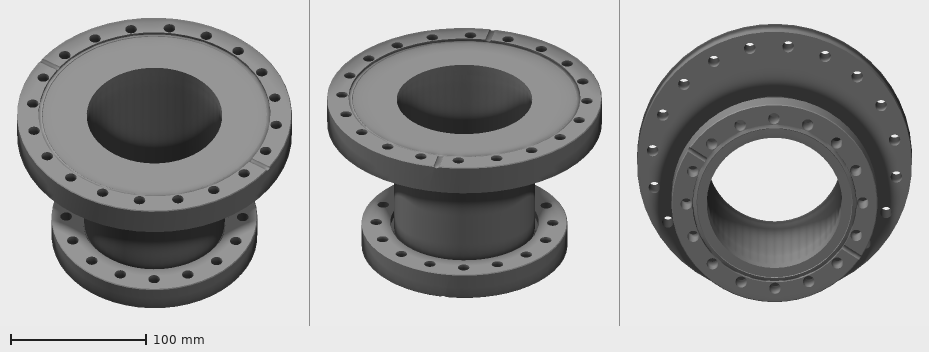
import cadquery as cq

TOTAL_HEIGHT = 127.0
TUBE_BORE = 100.0
TUBE_OD = 104.0
EDGE_CHAMFER = 0.6

RECESS_DEPTH = 2.0
FLOOR_DEPTH = 1.5
KNIFE_TIP_DEPTH = 1.0
KNIFE_INSET = 2.6
KNIFE_TAPER = 0.5
SOCKET_OFFSET = 8.7
BOLT_HOLE_DIAMETER = 8.5

LARGE_OD = 203.0
LARGE_THICKNESS = 21.7
LARGE_RECESS = 171.3
LARGE_BOLT_CIRCLE = 181.0
LARGE_BOLT_COUNT = 20
LARGE_GROOVE_WIDTH = 4.3
LARGE_GROOVE_DEPTH = 1.5

RING_OD = 152.0
RING_THICKNESS = 20.0
RING_POCKET = 121.2
RING_LIP_BORE = 109.6
RING_LIP_THICKNESS = 5.9
RING_BOLT_CIRCLE = 130.3
RING_BOLT_COUNT = 16
RING_GROOVE_WIDTH = 3.7
RING_GROOVE_DEPTH = 1.2
INSERT_OD = 120.4
COLLAR_OD = 105.0
COLLAR_GAP = 4.9
INSERT_TOP = RING_THICKNESS - RING_LIP_THICKNESS
COLLAR_TOP = RING_THICKNESS - COLLAR_GAP

SOCKET_DEPTH = FLOOR_DEPTH + SOCKET_OFFSET


def revolve_profile(points):
    """Revolve a closed (radius, z) outline around the Z axis."""
    return cq.Workplane("XZ").polyline(points).close().revolve(360, (0, 0, 0), (0, 1, 0))


def sealing_profile(recess_diameter):
    """(radius, depth) points from the recess corner over the knife edge to the bore."""
    recess_radius = recess_diameter / 2
    knife_radius = recess_radius - KNIFE_INSET
    return [
        (recess_radius, RECESS_DEPTH),
        (knife_radius, KNIFE_TIP_DEPTH),
        (knife_radius - KNIFE_TAPER, FLOOR_DEPTH),
        (TUBE_BORE / 2, FLOOR_DEPTH),
        (TUBE_BORE / 2, SOCKET_DEPTH),
        (TUBE_OD / 2, SOCKET_DEPTH),
    ]


def bolt_holes(bolt_circle, count, length):
    """Through holes, turned half a pitch so that the X axis passes between two of them."""
    pitch = 360 / count
    return (
        cq.Workplane("XY")
        .polarArray(bolt_circle / 2, pitch / 2, 360, count)
        .circle(BOLT_HOLE_DIAMETER / 2)
        .extrude(length)
    )


def leak_groove(width, depth, face_z, inward, length):
    """Round-bottomed groove along X; inward is the Z direction from the face into the metal."""
    radius = (width**2 / 4 + depth**2) / (2 * depth)
    center_z = face_z + inward * (depth - radius)
    return cq.Workplane("YZ").center(0, center_z).circle(radius).extrude(length / 2, both=True)


def make_large_flange():
    outer_radius = LARGE_OD / 2
    sealing = [(r, LARGE_THICKNESS - depth) for r, depth in sealing_profile(LARGE_RECESS)]
    outline = [
        (outer_radius, 0),
        (outer_radius, LARGE_THICKNESS - EDGE_CHAMFER),
        (outer_radius - EDGE_CHAMFER, LARGE_THICKNESS),
        (LARGE_RECESS / 2, LARGE_THICKNESS),
        *sealing,
        (TUBE_OD / 2, 0),
    ]
    groove = leak_groove(LARGE_GROOVE_WIDTH, LARGE_GROOVE_DEPTH, LARGE_THICKNESS, -1, LARGE_OD)
    groove = groove.cut(cq.Workplane("XY").circle(LARGE_RECESS / 2).extrude(2 * LARGE_THICKNESS))
    flange = revolve_profile(outline)
    flange = flange.cut(bolt_holes(LARGE_BOLT_CIRCLE, LARGE_BOLT_COUNT, LARGE_THICKNESS))
    flange = flange.cut(groove)
    return flange.translate((0, 0, TOTAL_HEIGHT - LARGE_THICKNESS))


def make_tube():
    length = TOTAL_HEIGHT - 2 * SOCKET_DEPTH
    tube = cq.Workplane("XY").circle(TUBE_OD / 2).circle(TUBE_BORE / 2).extrude(length)
    return tube.translate((0, 0, SOCKET_DEPTH))


def make_ring():
    outer_radius = RING_OD / 2
    outline = [
        (outer_radius - EDGE_CHAMFER, 0),
        (outer_radius, EDGE_CHAMFER),
        (outer_radius, RING_THICKNESS - EDGE_CHAMFER),
        (outer_radius - EDGE_CHAMFER, RING_THICKNESS),
        (RING_LIP_BORE / 2, RING_THICKNESS),
        (RING_LIP_BORE / 2, INSERT_TOP),
        (RING_POCKET / 2, INSERT_TOP),
        (RING_POCKET / 2, 0),
    ]
    ring = revolve_profile(outline)
    ring = ring.cut(bolt_holes(RING_BOLT_CIRCLE, RING_BOLT_COUNT, RING_THICKNESS))
    return ring.cut(leak_groove(RING_GROOVE_WIDTH, RING_GROOVE_DEPTH, 0, 1, RING_OD))


def make_insert():
    """Insert under the ring's lip, with a thin, low collar around the tube."""
    outline = [
        (INSERT_OD / 2, INSERT_TOP),
        *sealing_profile(INSERT_OD),
        (TUBE_OD / 2, COLLAR_TOP),
        (COLLAR_OD / 2, COLLAR_TOP),
        (COLLAR_OD / 2, INSERT_TOP),
    ]
    return revolve_profile(outline)


large_flange = make_large_flange()
tube = make_tube()
ring = make_ring()
insert = make_insert()

result = cq.Compound.makeCompound([large_flange.val(), tube.val(), ring.val(), insert.val()])